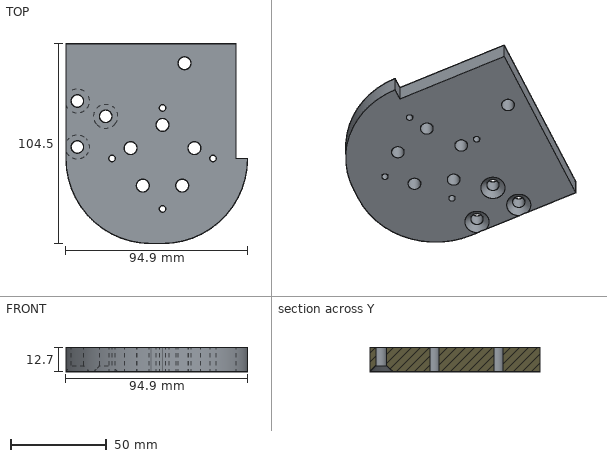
import cadquery as cq
import math

thickness = 12.7
corner_radius = 44.45
body_length = 60.0
edge_shift = 6.0

right_edge = corner_radius
left_edge = -corner_radius - edge_shift
body_right_edge = right_edge - edge_shift

large_hole_diameter = 6.6
large_ring_radius = 17.5
large_ring_count = 5
small_hole_diameter = 3.3
small_ring_radius = 26.35
small_ring_count = 4
first_hole_angle = 90.0

corner_hole_position = (11.5, 49.7)

side_hole_diameter = 6.4
inner_side_hole_position = (-29.65, 22.0)
edge_hole_inset = 6.0
edge_hole_heights = (6.0, 30.0)
edge_hole_positions = [(left_edge + edge_hole_inset, y) for y in edge_hole_heights]
countersink_diameter = 12.6
countersink_angle = 90.0


def make_plate():
    """Rectangular body ending in two quarter arcs, with a step on the right edge."""
    diagonal = corner_radius * math.sqrt(0.5)
    return (
        cq.Workplane("XY")
        .moveTo(left_edge, body_length)
        .lineTo(left_edge, 0)
        .threePointArc((-edge_shift - diagonal, -diagonal), (-edge_shift, -corner_radius))
        .lineTo(0, -corner_radius)
        .threePointArc((diagonal, -diagonal), (right_edge, 0))
        .lineTo(body_right_edge, 0)
        .lineTo(body_right_edge, body_length)
        .close()
        .extrude(thickness)
    )


def ring_positions(radius, count):
    """Evenly spaced points on a circle about the origin, the first one on +Y."""
    angles = [math.radians(first_hole_angle + i * 360.0 / count) for i in range(count)]
    return [(radius * math.cos(a), radius * math.sin(a)) for a in angles]


def through_holes(positions, diameter):
    """Cylinders that cut straight through the plate."""
    return cq.Workplane("XY").pushPoints(positions).circle(diameter / 2).extrude(thickness)


def countersink(position):
    """Cone that widens from the side-hole diameter to the bottom face."""
    mouth_radius = countersink_diameter / 2
    hole_radius = side_hole_diameter / 2
    depth = (mouth_radius - hole_radius) / math.tan(math.radians(countersink_angle / 2))
    x, y = position
    return cq.Workplane(cq.Solid.makeCone(mouth_radius, hole_radius, depth, pnt=cq.Vector(x, y, 0)))


large_positions = ring_positions(large_ring_radius, large_ring_count) + [corner_hole_position]
small_positions = ring_positions(small_ring_radius, small_ring_count)
side_positions = edge_hole_positions + [inner_side_hole_position]

result = make_plate()
result = result.cut(through_holes(large_positions, large_hole_diameter))
result = result.cut(through_holes(small_positions, small_hole_diameter))
result = result.cut(through_holes(side_positions, side_hole_diameter))
for side_position in side_positions:
    result = result.cut(countersink(side_position))